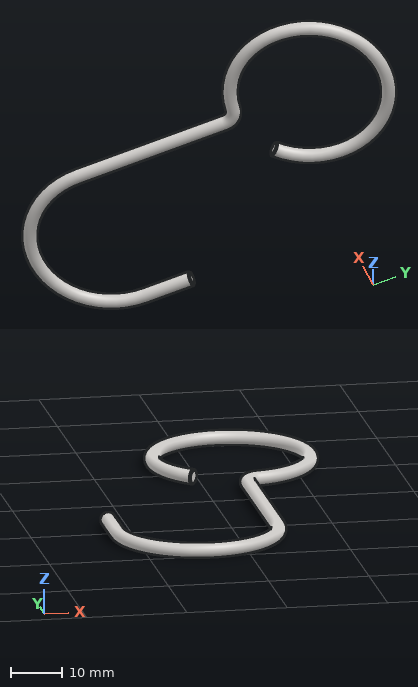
import cadquery as cq
import math

wire_diameter = 3.0
hook_radius = 16.0
ring_radius = 15.55
overall_length = 84.5
shank_length = 31.8
tip_length = 10.1
ring_end_angle = 231.5
end_chamfer = 0.25

wire_radius = wire_diameter / 2
shank_x = hook_radius
ring_y = overall_length - hook_radius - ring_radius - wire_diameter

shank_to_ring = ring_y - shank_length
neck_radius = (shank_to_ring**2 - ring_radius**2) / (2 * ring_radius)
neck_angle = math.degrees(math.atan2(-shank_to_ring, neck_radius))


def ring_point(angle):
    """Point on the ring centreline at an angle in degrees from +X."""
    a = math.radians(angle)
    return (shank_x + ring_radius * math.cos(a), ring_y + ring_radius * math.sin(a))


def make_centreline():
    return (
        cq.Workplane("XY")
        .moveTo(-hook_radius, tip_length)
        .lineTo(-hook_radius, 0)
        .threePointArc((0, -hook_radius), (hook_radius, 0))
        .lineTo(shank_x, shank_length)
        .tangentArcPoint(ring_point(neck_angle), relative=False)
        .threePointArc(ring_point((neck_angle + ring_end_angle) / 2), ring_point(ring_end_angle))
    )


def make_wire():
    section = cq.Workplane("XZ", origin=(-hook_radius, tip_length, 0)).circle(wire_radius)
    return section.sweep(make_centreline())


def chamfer_ends(wire):
    ring_end = cq.Vector(*ring_point(ring_end_angle), 0)
    tip_end = cq.Vector(-hook_radius, tip_length, 0)
    for end in (tip_end, ring_end):
        wire = wire.faces(cq.selectors.NearestToPointSelector(end.toTuple())).edges().chamfer(end_chamfer)
    return wire


result = chamfer_ends(make_wire())